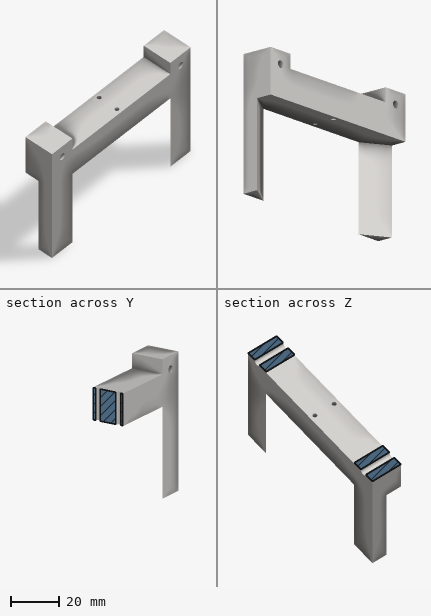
import cadquery as cq

depth = 15.0
length = 85.0
height = 60.8
leg_height = 40.0
bar_height = 14.2
end_width = 12.5
leg_depth = depth / 2

mount_diameter = 3.3
mount_height = 54.7
mount_spacing = length - end_width
bar_hole_diameter = 2.0
bar_hole_spacing = 10.0

bar_top = leg_height + bar_height


def end_block(side):
    """Raised block on one end of the bar; side is -1 or +1 along Y."""
    return (
        cq.Workplane("XY", origin=(0, side * mount_spacing / 2, bar_top))
        .box(depth, end_width, height - bar_top, centered=(True, True, False))
    )


def leg(side):
    """Triangular leg flush with the outer end and the +X face."""
    outer = side * length / 2
    inner = side * (length / 2 - end_width)
    back = depth / 2
    front = back - leg_depth
    return (
        cq.Workplane("XY")
        .polyline([(front, outer), (back, outer), (back, inner)])
        .close()
        .extrude(leg_height)
    )


bar = (
    cq.Workplane("XY", origin=(0, 0, leg_height))
    .box(depth, length, bar_height, centered=(True, True, False))
)

body = bar
for side in (-1, 1):
    body = body.union(end_block(side)).union(leg(side))

mount_holes = (
    cq.Workplane("YZ", origin=(-depth / 2, 0, mount_height))
    .pushPoints([(-mount_spacing / 2, 0), (mount_spacing / 2, 0)])
    .circle(mount_diameter / 2)
    .extrude(depth)
)

bar_holes = (
    cq.Workplane("XY", origin=(0, 0, leg_height))
    .pushPoints([(-bar_hole_spacing / 2, 0), (bar_hole_spacing / 2, 0)])
    .circle(bar_hole_diameter / 2)
    .extrude(bar_height)
)

result = body.cut(mount_holes).cut(bar_holes)